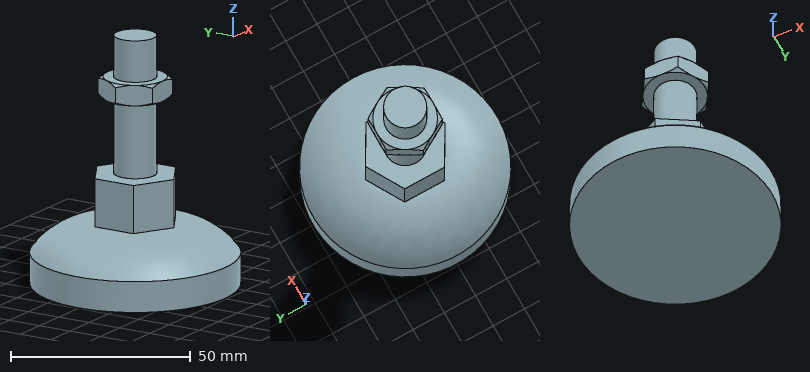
import cadquery as cq
import math

total_height = 72.0
rim_height = 9.0
foot_height = 18.0
hex_top = 32.0

foot_diameter = 59.0
crown_diameter = 24.05

rod_diameter = 12.0
hex_across_flats = 22.0

nut_across_flats = 18.0
nut_bottom = 54.0
nut_thickness = 6.0
nut_chamfer_angle = 30.0


def hexagon_prism(across_flats, height, bottom, rotation):
    """Upright hexagonal prism; a rotation of 0 puts two corners on the X axis."""
    across_corners = across_flats / math.cos(math.radians(30))
    prism = cq.Workplane("XY").polygon(6, across_corners).extrude(height)
    return prism.rotate((0, 0, 0), (0, 0, 1), rotation).translate((0, 0, bottom))


def make_foot():
    """Solid disc with a dome whose arc runs tangent into the flat crown."""
    rim_radius = foot_diameter / 2
    crown_radius = crown_diameter / 2
    dome_width = rim_radius - crown_radius
    dome_height = foot_height - rim_height
    arc_radius = (dome_width**2 + dome_height**2) / (2 * dome_height)
    half_sweep = math.asin(dome_width / arc_radius) / 2
    arc_middle = (
        crown_radius + arc_radius * math.sin(half_sweep),
        foot_height - arc_radius * (1 - math.cos(half_sweep)),
    )
    profile = (
        cq.Workplane("XZ")
        .lineTo(rim_radius, 0)
        .lineTo(rim_radius, rim_height)
        .threePointArc(arc_middle, (crown_radius, foot_height))
        .lineTo(0, foot_height)
        .close()
    )
    return profile.revolve(360, (0, 0, 0), (0, 1, 0))


def make_stud():
    """Round rod with a hexagonal base that stands on the foot."""
    base = hexagon_prism(hex_across_flats, hex_top - foot_height, foot_height, 30)
    rod = (
        cq.Workplane("XY", origin=(0, 0, foot_height))
        .circle(rod_diameter / 2)
        .extrude(total_height - foot_height)
    )
    return base.union(rod)


def make_nut():
    """Hexagonal nut with conical chamfers on both faces, bored to fit the rod."""
    face_radius = nut_across_flats / 2
    corner_radius = face_radius / math.cos(math.radians(30))
    chamfer_height = (corner_radius - face_radius) * math.tan(math.radians(nut_chamfer_angle))
    nut_top = nut_bottom + nut_thickness
    envelope = (
        cq.Workplane("XZ")
        .moveTo(0, nut_bottom)
        .lineTo(face_radius, nut_bottom)
        .lineTo(corner_radius, nut_bottom + chamfer_height)
        .lineTo(corner_radius, nut_top - chamfer_height)
        .lineTo(face_radius, nut_top)
        .lineTo(0, nut_top)
        .close()
        .revolve(360, (0, 0, 0), (0, 1, 0))
    )
    bore = (
        cq.Workplane("XY", origin=(0, 0, nut_bottom))
        .circle(rod_diameter / 2)
        .extrude(nut_thickness)
    )
    blank = hexagon_prism(nut_across_flats, nut_thickness, nut_bottom, 0)
    return blank.intersect(envelope).cut(bore)


foot = make_foot()
stud = make_stud()
nut = make_nut()

result = cq.Compound.makeCompound([foot.val(), stud.val(), nut.val()])